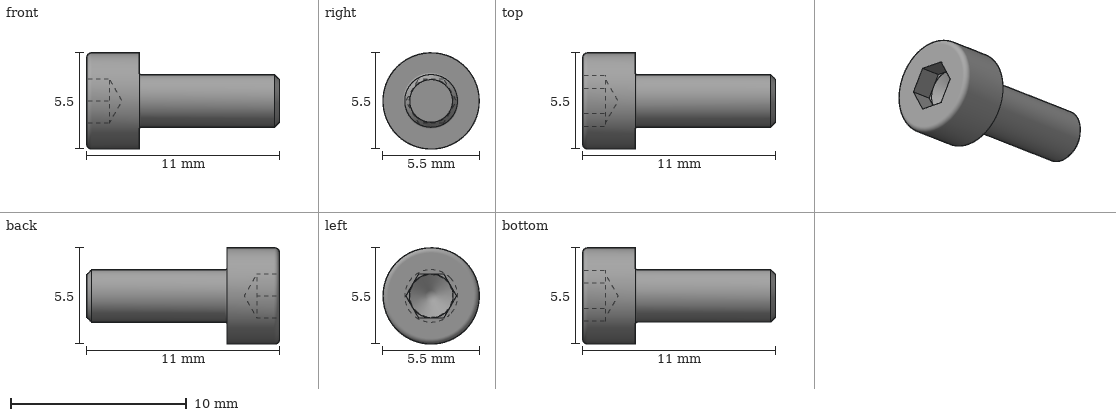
import cadquery as cq
import math

total_length = 11.0
head_diameter = 5.5
head_height = 3.0
head_edge_radius = 0.3
shank_diameter = 3.0
shank_length = total_length - head_height
neck_fillet_radius = 0.1
tip_chamfer = 0.29

socket_across_flats = 2.5
socket_depth = 1.3
socket_cone_angle = 120.0


def make_head():
    head = cq.Workplane("YZ").circle(head_diameter / 2).extrude(-head_height)
    return head.faces("<X").edges().fillet(head_edge_radius)


def make_shank():
    shank = cq.Workplane("YZ").circle(shank_diameter / 2).extrude(shank_length)
    return shank.faces(">X").edges().chamfer(tip_chamfer)


def make_neck_fillet():
    """Ring with a concave quarter-round between the shank and the head."""
    shank_radius = shank_diameter / 2
    arc_inset = neck_fillet_radius * (1 - math.sqrt(0.5))
    profile = (
        cq.Workplane("XY")
        .lineTo(0, shank_radius + neck_fillet_radius)
        .threePointArc(
            (arc_inset, shank_radius + arc_inset),
            (neck_fillet_radius, shank_radius),
        )
        .lineTo(neck_fillet_radius, 0)
        .close()
    )
    return profile.revolve(360, (0, 0, 0), (1, 0, 0))


def make_socket():
    """Hexagonal prism with corners on the Y axis, ending in a drill cone."""
    across_corners = socket_across_flats / math.cos(math.radians(30))
    hexagon = (
        cq.Workplane("YZ", origin=(-head_height, 0, 0))
        .polygon(6, across_corners)
        .extrude(socket_depth)
    )
    cone_radius = socket_across_flats / 2
    cone_depth = cone_radius / math.tan(math.radians(socket_cone_angle / 2))
    cone = cq.Solid.makeCone(
        cone_radius,
        0,
        cone_depth,
        pnt=cq.Vector(socket_depth - head_height, 0, 0),
        dir=cq.Vector(1, 0, 0),
    )
    return hexagon.union(cq.Workplane(cone))


body = make_head().union(make_shank()).union(make_neck_fillet())
result = body.cut(make_socket())